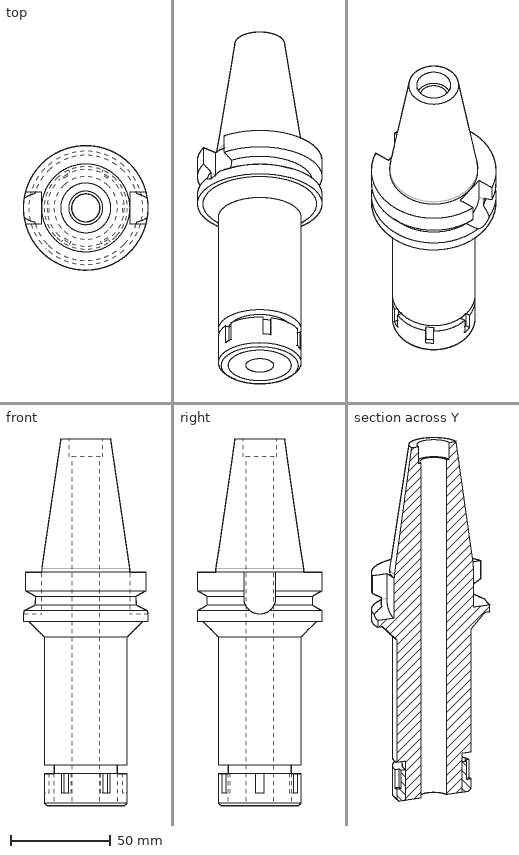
import cadquery as cq
import math

total_length = 185.4

gauge_height = 120.0
gauge_radius = 22.2
shank_tip_radius = 12.6

flange_radius = 31.5
flange_top = 118.1
flange_bottom = 93.0
groove_top = 108.6
groove_bottom = 98.6
groove_floor_radius = 26.7
groove_flank_angle = 30.0
groove_flank_rise = (flange_radius - groove_floor_radius) * math.tan(math.radians(groove_flank_angle))

keyway_width = 16.1
keyway_floor_offset = 22.5
keyway_bottom = 97.0

body_radius = 21.0
body_bottom = 20.5
shoulder_radius = 28.7
shoulder_bottom = flange_bottom - (shoulder_radius - body_radius)

nose_radius = 16.0

bore_radius = 7.0
counterbore_radius = 8.5
counterbore_depth = 8.9

nut_radius = body_radius
nut_height = 16.3
nut_chamfer = 1.5
slot_count = 6
slot_width = 4.0
slot_depth = 2.5
slot_bottom = 6.7


def make_holder_blank():
    """Turned outline of the shank, flange, body and nose."""
    outline = [
        (0, 0),
        (nose_radius, 0),
        (nose_radius, body_bottom),
        (body_radius, body_bottom),
        (body_radius, shoulder_bottom),
        (shoulder_radius, flange_bottom),
        (flange_radius, flange_bottom),
        (flange_radius, groove_bottom),
        (groove_floor_radius, groove_bottom + groove_flank_rise),
        (groove_floor_radius, groove_top - groove_flank_rise),
        (flange_radius, groove_top),
        (flange_radius, flange_top),
        (gauge_radius, flange_top),
        (gauge_radius, gauge_height),
        (shank_tip_radius, total_length),
        (0, total_length),
    ]
    return cq.Workplane("XZ").polyline(outline).close().revolve(360, (0, 0), (0, 1))


def make_keyway(side):
    """Round-ended keyway cutter, open at the flange top; side is -1 or +1 along X."""
    end_radius = keyway_width / 2
    end_centre = keyway_bottom + end_radius
    return (
        cq.Workplane("YZ", origin=(side * keyway_floor_offset, 0, 0))
        .moveTo(-end_radius, flange_top)
        .lineTo(-end_radius, end_centre)
        .threePointArc((0, keyway_bottom), (end_radius, end_centre))
        .lineTo(end_radius, flange_top)
        .close()
        .extrude(side * flange_radius)
    )


def make_holder():
    holder = make_holder_blank()
    for side in (-1, 1):
        holder = holder.cut(make_keyway(side))
    bore = cq.Workplane("XY").circle(bore_radius).extrude(total_length)
    counterbore = (
        cq.Workplane("XY", origin=(0, 0, total_length - counterbore_depth))
        .circle(counterbore_radius)
        .extrude(counterbore_depth)
    )
    return holder.cut(bore).cut(counterbore)


def make_nut():
    """Ring around the nose, with spanner slots open at the top."""
    nut = cq.Workplane("XY").circle(nut_radius).extrude(nut_height)
    nut = nut.faces("<Z").chamfer(nut_chamfer)
    nut = nut.cut(cq.Workplane("XY").circle(nose_radius).extrude(nut_height))
    slot = (
        cq.Workplane("XY", origin=(nut_radius - slot_depth, 0, slot_bottom))
        .box(nut_radius, slot_width, nut_height, centered=(False, True, False))
    )
    for i in range(slot_count):
        nut = nut.cut(slot.rotate((0, 0, 0), (0, 0, 1), i * 360 / slot_count))
    return nut


holder = make_holder()
nut = make_nut()

result = cq.Compound.makeCompound([holder.val(), nut.val()])